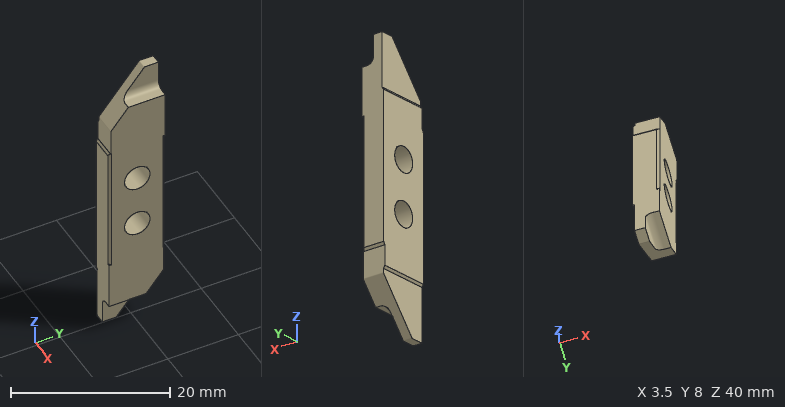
import cadquery as cq

thickness = 3.5
width = 8.0
length = 40.0
half_width = width / 2
half_length = length / 2

pad_height = 0.25
pad_half_length = 12.0
pad_ramp_foot = 12.35
tab_back = 1.7
tab_length = 4.0
tab_fillet = 1.0

tip_width = 2.0
oblique_fillet = 0.2
oblique_length = 7.05
side_relief = 0.25
relief_start = 8.8
relief_end = 9.2

hole_diameter = 3.6
hole_spacing = 7.5
bevel = 0.35


def face_outline():
    """Outline in Y and Z, unchanged by a half turn about X, with rounded oblique corners."""
    oblique_foot = (-half_width + side_relief, half_length - oblique_length)
    oblique_tip = (half_width - tip_width, half_length)
    upper_half = [
        (-half_width, relief_start),
        (-half_width + side_relief, relief_end),
        oblique_foot,
        oblique_tip,
        (half_width, half_length),
    ]
    lower_half = [(-y, -z) for y, z in upper_half]
    outline = cq.Workplane("YZ").polyline(upper_half + lower_half).close()
    plate = outline.extrude(thickness)
    for y, z in (oblique_foot, oblique_tip):
        for turn in (1, -1):
            corner = cq.NearestToPointSelector((thickness / 2, turn * y, turn * z))
            plate = plate.edges("|X").edges(corner).fillet(oblique_fillet)
    return plate


def thickness_profile():
    """Outline in X and Z, swept straight through the width."""
    shoulder = half_length - tab_length
    diagonal = tab_fillet * (1 - 0.5 ** 0.5)
    fillet_middle = (tab_back + diagonal, shoulder + diagonal)
    fillet_x = tab_back + tab_fillet
    fillet_z = shoulder + tab_fillet
    return (
        cq.Workplane("XZ")
        .moveTo(0, -pad_half_length)
        .lineTo(0, pad_half_length)
        .lineTo(pad_height, pad_ramp_foot)
        .lineTo(pad_height, half_length)
        .lineTo(tab_back, half_length)
        .lineTo(tab_back, fillet_z)
        .threePointArc(fillet_middle, (fillet_x, shoulder))
        .lineTo(thickness, shoulder)
        .lineTo(thickness, -shoulder)
        .lineTo(fillet_x, -shoulder)
        .threePointArc((fillet_middle[0], -fillet_middle[1]), (tab_back, -fillet_z))
        .lineTo(tab_back, -half_length)
        .lineTo(pad_height, -half_length)
        .lineTo(pad_height, -pad_ramp_foot)
        .close()
        .extrude(half_width, both=True)
    )


def holes():
    """Cylinders along X for the two through holes."""
    centres = [(0, hole_spacing / 2), (0, -hole_spacing / 2)]
    return cq.Workplane("YZ").pushPoints(centres).circle(hole_diameter / 2).extrude(thickness)


def back_edge_bevel(side):
    """Triangular bar that bevels the back edge on one side (-1 or 1 in Y)."""
    edge = side * half_width
    triangle = [(thickness, edge), (thickness - bevel, edge), (thickness, edge - side * bevel)]
    return cq.Workplane("XY").polyline(triangle).close().extrude(relief_end, both=True)


result = face_outline().intersect(thickness_profile()).cut(holes())
for side in (-1, 1):
    result = result.cut(back_edge_bevel(side))